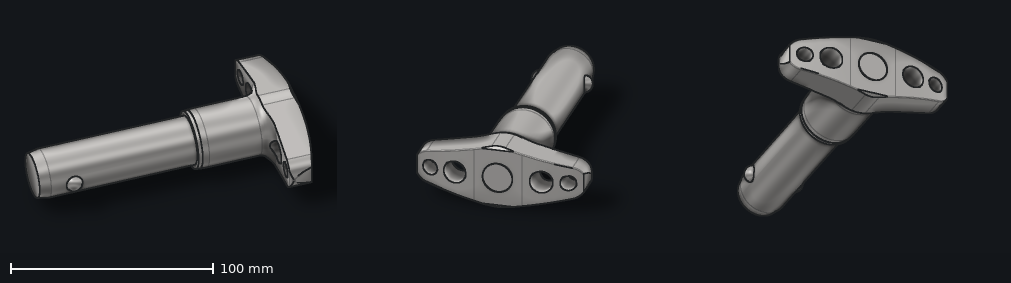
import cadquery as cq
import math


handle_length = 88.7
handle_width = 33.21
crown_radius = handle_width / 2
end_radius = 8.9
end_center_x = handle_length / 2 - end_radius

crown_depth = 0.45
crown_flat_half = 12.3
crown_arc_radius = 94.0
top_end_x = 42.8
end_bottom_depth = 17.2
bottom_mid_depth = 15.95
foot_half_length = 44.74
bottom_corner_radius = 2.0
bevel_width = 1.7
bevel_drop = 1.3
rim_round = 0.5

outer_hole_diameter = 7.9
inner_hole_x = 22.2
inner_hole_diameter = 11.6

button_radius = 7.65

hub_radius = 15.15
flare_radius = 6.2
flare_end_depth = 22.3
flare_overlap = 1.0
taper_start_depth = 49.7
collar_depth = 53.0
hub_end_depth = 55.1
taper_end_radius = 14.95
collar_radius = 14.8

pin_radius = 12.5
tip_start_depth = 131.2
pin_end_depth = 136.8
tip_radius = 11.4

ball_radius = 4.4
ball_depth = 119.0
ball_reach = 15.6


def plan_prism(near_depth, far_depth):
    """Prism of the handle outline: two end rounds and two crowns joined by tangent lines."""
    lean = math.asin((crown_radius - end_radius) / end_center_x)
    crown_x = crown_radius * math.sin(lean)
    crown_z = crown_radius * math.cos(lean)
    end_x = end_center_x + end_radius * math.sin(lean)
    end_z = end_radius * math.cos(lean)
    return (
        cq.Workplane("XZ", origin=(0, -near_depth, 0))
        .moveTo(-crown_x, crown_z)
        .threePointArc((0, crown_radius), (crown_x, crown_z))
        .lineTo(end_x, end_z)
        .threePointArc((handle_length / 2, 0), (end_x, -end_z))
        .lineTo(crown_x, -crown_z)
        .threePointArc((0, -crown_radius), (-crown_x, -crown_z))
        .lineTo(-end_x, -end_z)
        .threePointArc((-handle_length / 2, 0), (-end_x, end_z))
        .close()
        .extrude(far_depth - near_depth)
    )


def crown_y(x):
    """Height of the arched top at the given X, which lies beyond its central flat."""
    run = x - crown_flat_half
    return -crown_depth - crown_arc_radius + math.sqrt(crown_arc_radius**2 - run**2)


def thickness_profile():
    """Arched top, drafted ends and hollowed underside, drawn in XY and extruded along Z."""
    arch_mid_x = (crown_flat_half + top_end_x) / 2
    return (
        cq.Workplane("XY", origin=(0, 0, -crown_radius))
        .moveTo(-crown_flat_half, -crown_depth)
        .lineTo(crown_flat_half, -crown_depth)
        .threePointArc((arch_mid_x, crown_y(arch_mid_x)), (top_end_x, crown_y(top_end_x)))
        .lineTo(foot_half_length, -end_bottom_depth)
        .threePointArc((0, -bottom_mid_depth), (-foot_half_length, -end_bottom_depth))
        .lineTo(-top_end_x, crown_y(top_end_x))
        .threePointArc((-arch_mid_x, crown_y(arch_mid_x)), (-crown_flat_half, -crown_depth))
        .close()
        .extrude(handle_width)
        .edges("|Z and <X or |Z and >X")
        .fillet(bottom_corner_radius)
    )


def edge_bevel(side):
    """Wedge that bevels the top edge of the crown on the +Z (1) or -Z (-1) side."""
    return (
        cq.Workplane("YZ", origin=(-handle_length / 2, 0, 0))
        .moveTo(-crown_depth, side * (crown_radius - bevel_width))
        .lineTo(-crown_depth, side * crown_radius)
        .lineTo(-crown_depth - bevel_drop, side * crown_radius)
        .close()
        .extrude(handle_length)
    )


def hub_flare():
    """Concave round from the handle underside into the hub, trimmed to the handle outline."""
    flare_top_depth = flare_end_depth - flare_radius
    outer_radius = hub_radius + flare_radius
    diagonal = flare_radius * math.sqrt(0.5)
    flare_middle = (outer_radius - diagonal, -flare_end_depth + diagonal)
    root_depth = flare_top_depth - flare_overlap
    flare = (
        cq.Workplane("XY")
        .moveTo(0, -root_depth)
        .lineTo(outer_radius, -root_depth)
        .lineTo(outer_radius, -flare_top_depth)
        .threePointArc(flare_middle, (hub_radius, -flare_end_depth))
        .lineTo(0, -flare_end_depth)
        .close()
        .revolve(360, (0, 0, 0), (0, 1, 0))
    )
    return flare.intersect(plan_prism(0, flare_end_depth))


def shaft():
    """Hub with tapered end and collar, then the pin with its narrowed tip."""
    return (
        cq.Workplane("XY")
        .moveTo(0, -bottom_mid_depth)
        .lineTo(hub_radius, -bottom_mid_depth)
        .lineTo(hub_radius, -taper_start_depth)
        .lineTo(taper_end_radius, -collar_depth)
        .lineTo(collar_radius, -collar_depth)
        .lineTo(collar_radius, -hub_end_depth)
        .lineTo(pin_radius, -hub_end_depth)
        .lineTo(pin_radius, -tip_start_depth)
        .lineTo(tip_radius, -pin_end_depth)
        .lineTo(0, -pin_end_depth)
        .close()
        .revolve(360, (0, 0, 0), (0, 1, 0))
    )


def through_holes():
    """Two inner holes and two outer holes through the handle, mirrored about the pin."""
    holes = cq.Workplane("XZ")
    for x, diameter in ((inner_hole_x, inner_hole_diameter), (end_center_x, outer_hole_diameter)):
        holes = holes.pushPoints([(-x, 0), (x, 0)]).circle(diameter / 2).extrude(flare_end_depth)
    return holes


def handle():
    """Arched bar cut to the handle outline, with a rounded top rim and bevelled crown edges."""
    bar = thickness_profile().intersect(plan_prism(0, end_bottom_depth))
    top_faces = cq.selectors.BoxSelector(
        (-handle_length, crown_y(top_end_x), -handle_width), (handle_length, 0, handle_width)
    )
    bar = bar.faces(top_faces).edges("not |Z").fillet(rim_round)
    for side in (1, -1):
        bar = bar.cut(edge_bevel(side))
    return bar


def release_button():
    """Round button standing slightly proud of the crown."""
    return cq.Workplane("XZ").circle(button_radius).extrude(bottom_mid_depth)


def locking_ball(side):
    """Ball protruding from the pin on the +X (1) or -X (-1) side."""
    center_x = side * (ball_reach - ball_radius)
    return cq.Workplane("XY").sphere(ball_radius).translate((center_x, -ball_depth, 0))


result = handle().union(hub_flare()).cut(through_holes())
result = result.union(release_button()).union(shaft())
for side in (1, -1):
    result = result.union(locking_ball(side))